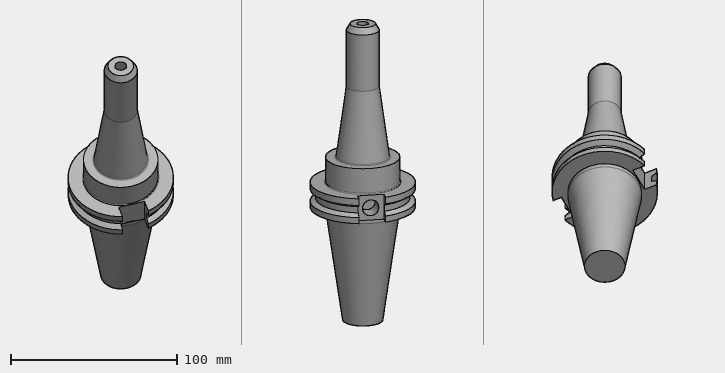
import cadquery as cq
import math

total_height = 188.1
gauge_height = 68.5
flange_bottom = 71.7
flange_top = 87.5
collar_top = 103.5
neck_top = 148.5
nose_chamfer_height = 4.0

slope_ratio = math.tan(math.radians(30))

gauge_radius = 22.2
taper_ratio = 7 / 24
small_end_radius = gauge_radius - gauge_height * taper_ratio / 2
flange_radius = 63.4 / 2
collar_radius = 22.4
neck_base_radius = 16.2
nose_radius = 10.0
nose_tip_radius = nose_radius - nose_chamfer_height * slope_ratio
root_fillet = 0.5

groove_middle = 79.4
groove_root_radius = 28.5
groove_root_width = 4.0
groove_depth = flange_radius - groove_root_radius
groove_mouth_width = groove_root_width + 2 * groove_depth * slope_ratio

slot_width = 16.2
left_slot_floor = 25.0
right_slot_floor = 22.8
slot_hole_diameter = 10.0
slot_hole_depth = 11.3
bore_diameter = 6.8
bore_depth = 18.8


def turned_body():
    """Taper shank, flange, collar, conical neck and nose as one revolved profile."""
    profile = (
        cq.Workplane("XZ")
        .lineTo(small_end_radius, 0)
        .lineTo(gauge_radius, gauge_height)
        .lineTo(gauge_radius, flange_bottom)
        .lineTo(flange_radius, flange_bottom)
        .lineTo(flange_radius, groove_middle - groove_mouth_width / 2)
        .lineTo(groove_root_radius, groove_middle - groove_root_width / 2)
        .lineTo(groove_root_radius, groove_middle + groove_root_width / 2)
        .lineTo(flange_radius, groove_middle + groove_mouth_width / 2)
        .lineTo(flange_radius, flange_top)
        .lineTo(collar_radius, flange_top)
        .lineTo(collar_radius, collar_top)
        .lineTo(neck_base_radius, collar_top)
        .lineTo(nose_radius, neck_top)
        .lineTo(nose_radius, total_height - nose_chamfer_height)
        .lineTo(nose_tip_radius, total_height)
        .lineTo(0, total_height)
        .close()
    )
    return profile.revolve(360, (0, 0, 0), (0, 1, 0))


def fillet_root(body, radius, height):
    """Round the inside corner where a turned step of this radius meets the face below it."""
    margin = 0.2
    corner = cq.selectors.BoxSelector(
        (-radius - margin, -radius - margin, height - margin),
        (radius + margin, radius + margin, height + margin),
        boundingbox=True,
    )
    return body.edges(corner).fillet(root_fillet)


def drive_slot(side, floor):
    """Cutter for a slot through the flange on the -X (side=-1) or +X (side=1) flank."""
    depth = flange_radius - floor
    return cq.Workplane("XY").box(depth, slot_width, flange_top - flange_bottom).translate(
        (side * (floor + depth / 2), 0, (flange_bottom + flange_top) / 2)
    )


def slot_hole():
    """Cutter for the blind radial hole in the floor of the -X slot."""
    return (
        cq.Workplane("YZ", origin=(-left_slot_floor, 0, groove_middle))
        .circle(slot_hole_diameter / 2)
        .extrude(slot_hole_depth)
    )


def axial_bore():
    """Cutter for the blind bore in the nose tip."""
    nose_tip = cq.Workplane("XY", origin=(0, 0, total_height))
    return nose_tip.circle(bore_diameter / 2).extrude(-bore_depth)


body = turned_body()
body = fillet_root(body, collar_radius, flange_top)
body = fillet_root(body, neck_base_radius, collar_top)
body = body.cut(drive_slot(-1, left_slot_floor))
body = body.cut(drive_slot(1, right_slot_floor))
body = body.cut(slot_hole())
result = body.cut(axial_bore())